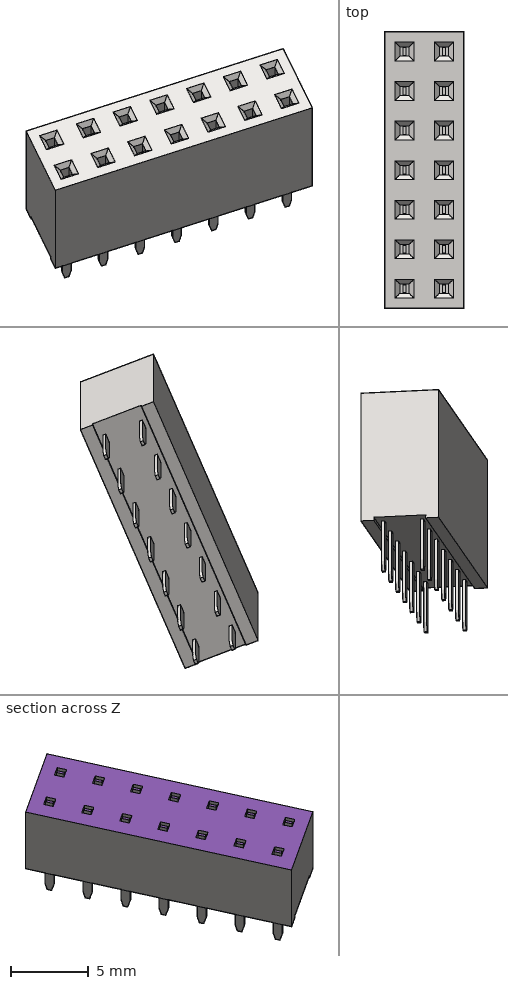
import cadquery as cq

pitch = 2.54
columns = 2
rows = 7

housing_width = columns * pitch
housing_length = rows * pitch
housing_height = 8.5

foot_width = 0.85
channel_width = housing_width - 2 * foot_width
channel_height = 0.2

lead_in_size = 1.2
well_size = 0.6
lead_in_depth = 0.3
well_depth = 3.0

pin_thickness = 0.2
pin_width = 0.6
pin_blade_width = 0.5
pin_tip_width = 0.3
pin_tip_length = 0.6
pin_tail_length = 3.1
pin_top_above_well_floor = 1.0

well_floor_z = housing_height - lead_in_depth - well_depth
pin_top_z = well_floor_z + pin_top_above_well_floor

contact_positions = [
    ((column - (columns - 1) / 2) * pitch, (row - (rows - 1) / 2) * pitch)
    for column in range(columns)
    for row in range(rows)
]


def make_housing():
    """Rectangular block with a channel running the full length of its underside."""
    block = cq.Workplane("XY").box(
        housing_width, housing_length, housing_height, centered=(True, True, False)
    )
    channel = cq.Workplane("XY").box(
        channel_width, housing_length, channel_height, centered=(True, True, False)
    )
    return block.cut(channel)


def make_socket():
    """Cutting tool for one socket, centred on the Z axis."""
    lead_in = (
        cq.Workplane("XY", origin=(0, 0, housing_height))
        .rect(lead_in_size, lead_in_size)
        .workplane(offset=-lead_in_depth)
        .rect(well_size, well_size)
        .loft(ruled=True)
    )
    well = cq.Workplane("XY", origin=(0, 0, well_floor_z)).box(
        well_size, well_size, well_depth, centered=(True, True, False)
    )
    return lead_in.union(well)


def make_pin():
    """Flat pin centred on the Z axis, its broad faces looking along X."""
    tip_z = -pin_tail_length
    shoulder_z = tip_z + pin_tip_length
    outline = [
        (-pin_blade_width / 2, pin_top_z),
        (pin_blade_width / 2, pin_top_z),
        (pin_blade_width / 2, well_floor_z),
        (pin_width / 2, well_floor_z),
        (pin_width / 2, shoulder_z),
        (pin_tip_width / 2, tip_z),
        (-pin_tip_width / 2, tip_z),
        (-pin_width / 2, shoulder_z),
        (-pin_width / 2, well_floor_z),
        (-pin_blade_width / 2, well_floor_z),
    ]
    return cq.Workplane("YZ").polyline(outline).close().extrude(pin_thickness / 2, both=True)


socket = make_socket()
pin = make_pin()
result = make_housing()
for x, y in contact_positions:
    result = result.cut(socket.translate((x, y, 0)))
    result = result.union(pin.translate((x, y, 0)))